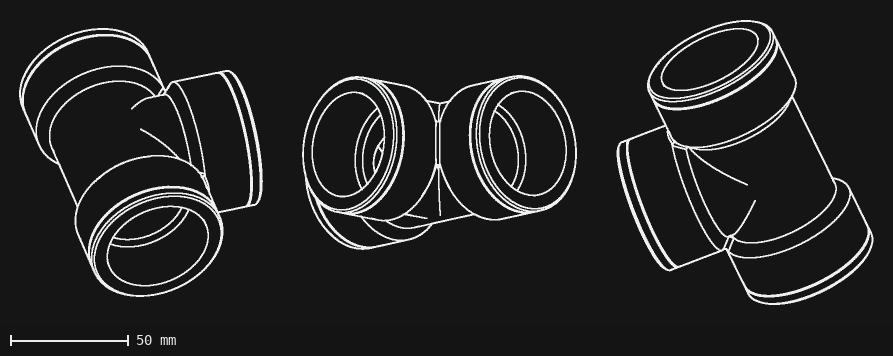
import math

import cadquery as cq

arm_length = 54.0
socket_radius = 29.2
socket_start = 28.9
neck_radius = 24.6
neck_end = socket_start - (socket_radius - neck_radius)

mouth_chamfer = 1.0

groove_setback = 4.6
groove_width = 0.5
groove_depth = 0.1

bore_radius = 40.4 / 2
socket_bore_radius = 44.8 / 2
seat_end = 28.9
seat_start = seat_end - (socket_bore_radius - bore_radius)

crotch_radius = 1.2

Z_AXIS = ((0, 0, 0), (0, 0, 1))


def revolve_about_x(profile):
    """Turn a closed (axial, radial) profile about the X axis."""
    return cq.Workplane("XY").polyline(profile).close().revolve(360, (0, 0, 0), (1, 0, 0))


def both_ways(half):
    """Mirror a half profile, listed from its left end to x = 0, to the right end."""
    return half + [(-x, r) for x, r in reversed(half)]


def outer_profile():
    return [
        (-arm_length, 0),
        (-arm_length, socket_radius - mouth_chamfer),
        (-arm_length + mouth_chamfer, socket_radius),
        (-socket_start, socket_radius),
        (-neck_end, neck_radius),
    ]


def bore_profile():
    return [
        (-arm_length, 0),
        (-arm_length, socket_bore_radius),
        (-seat_end, socket_bore_radius),
        (-seat_start, bore_radius),
    ]


def run_and_branch(half_profile):
    """Join a full-length run along X with a single arm along +Y."""
    run = revolve_about_x(both_ways(half_profile))
    center_radius = half_profile[-1][1]
    branch = revolve_about_x(half_profile + [(0, center_radius), (0, 0)])
    return run.union(branch.rotate(*Z_AXIS, -90))


def mouth_groove():
    """Ring that cuts the groove of the arm along +X."""
    outer_edge = arm_length - groove_setback
    inner_edge = outer_edge - groove_width
    floor_radius = socket_radius - groove_depth
    return revolve_about_x([
        (inner_edge, floor_radius),
        (inner_edge, socket_radius),
        (outer_edge, socket_radius),
        (outer_edge, floor_radius),
    ])


def crotch_fillet():
    """Fillet material of one crotch, lying along +X in the XZ plane.

    A ball of the fillet radius rolls between the two arms. It follows an arc
    round the tip, where the sockets meet, and a straight line above and below,
    where the flares face each other.
    """
    diagonal = math.sqrt(2)
    flare_offset = socket_radius - socket_start + crotch_radius * diagonal

    def flare_ball_height(offset):
        return math.sqrt((offset + flare_offset) ** 2 - offset ** 2)

    ball_distance = socket_radius + crotch_radius
    inner_offset = neck_end - crotch_radius / diagonal
    inner_height = flare_ball_height(inner_offset)
    outer_height = flare_ball_height(socket_start)
    corner_offset = math.sqrt(ball_distance ** 2 - outer_height ** 2)

    inner = (inner_offset * diagonal, inner_height)
    corner = (corner_offset * diagonal, outer_height)
    tip = (ball_distance * diagonal, 0)

    contact_scale = socket_radius / ball_distance
    contact_setback = crotch_radius / diagonal
    blank = (
        cq.Workplane("XZ")
        .moveTo(inner[0], -inner[1] * contact_scale)
        .lineTo(corner[0] - contact_setback, -corner[1] * contact_scale)
        .threePointArc(
            (tip[0] - contact_setback, 0),
            (corner[0] - contact_setback, corner[1] * contact_scale),
        )
        .lineTo(inner[0], inner[1] * contact_scale)
        .close()
        .extrude(crotch_radius, both=True)
    )

    tip_path = cq.Workplane("XZ").moveTo(corner[0], -corner[1]).threePointArc(tip, corner)
    tip_start = cq.Plane(
        origin=(corner[0], 0, -corner[1]),
        xDir=(0, 1, 0),
        normal=tip_path.val().tangentAt(0).toTuple(),
    )
    rolled = cq.Workplane(tip_start).circle(crotch_radius).sweep(tip_path)

    for side in (1, -1):
        start = cq.Vector(inner[0], 0, side * inner[1])
        travel = cq.Vector(corner[0], 0, side * corner[1]) - start
        rolled = rolled.union(
            cq.Workplane(cq.Solid.makeCylinder(crotch_radius, travel.Length, start, travel))
        )
    return blank.cut(rolled)


body = run_and_branch(outer_profile())

fillet = crotch_fillet()
for angle in (45, 135):
    body = body.union(fillet.rotate(*Z_AXIS, angle))

groove = mouth_groove()
for angle in (0, 90, 180):
    body = body.cut(groove.rotate(*Z_AXIS, angle))

result = body.cut(run_and_branch(bore_profile()))